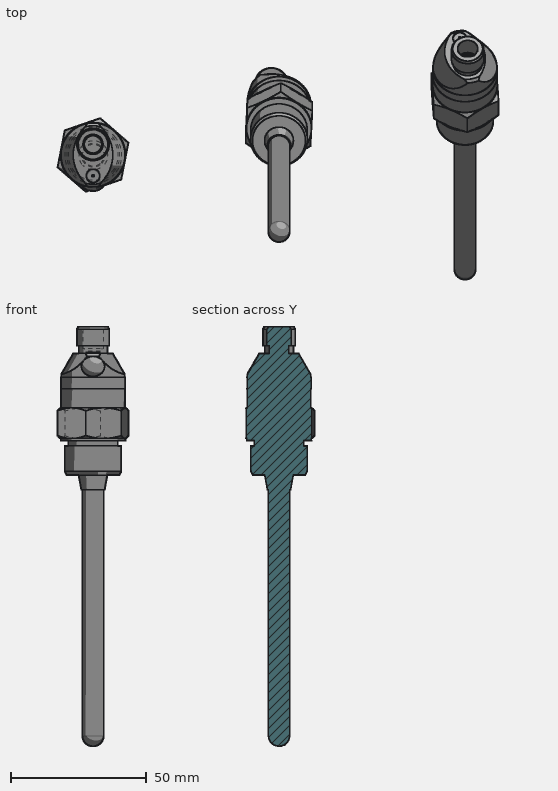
import cadquery as cq
import math

ROD_TIP_Z = -112.8
CONE_BOTTOM_Z = -18.2
THREAD_BOTTOM_Z = -12.7
THREAD_TOP_Z = -1.9
HEX_BOTTOM_Z = 0.8
HEX_TOP_Z = 12.1
BODY_TOP_Z = 23.3
HEAD_TOP_Z = 32.2
COLLAR_BOTTOM_Z = 35.0
CONNECTOR_TOP_Z = 42.1

ROD_DIAMETER = 8.0
CONE_TOP_DIAMETER = 10.7
CONE_BOTTOM_DIAMETER = 8.7
THREAD_DIAMETER = 20.95
THREAD_CHAMFER_WIDTH = 0.7
THREAD_CHAMFER_HEIGHT = 1.4
UNDERCUT_DIAMETER = 18.4

HEX_ACROSS_FLATS = 24.0
SEAT_DIAMETER = 24.0
HEX_CORNER_ANGLE = 19.0
HEX_CHAMFER_ANGLE = 30.0
BODY_DIAMETER = 23.7
CAP_RING_DIAMETER = 23.8
CAP_RING_BOTTOM_Z = 19.1

HEAD_DIAMETER = 23.6
HEAD_EDGE_CHAMFER = 1.0
FLANK_RADIUS = 16.0
FLANK_ANGLE = 30.0
FLANK_TOP_HALF_WIDTH = 7.3
FLANK_LENGTH = 80.0

CONNECTOR_Y = 3.9
CONNECTOR_DIAMETER = 12.0
CONNECTOR_CHAMFER_WIDTH = 0.5
CONNECTOR_CHAMFER_HEIGHT = 1.0
CONNECTOR_NECK_DIAMETER = 10.7
SOCKET_DIAMETER = 7.4
SOCKET_DEPTH = 8.0
SOCKET_FLOOR_DIAMETER = 6.4
SOCKET_FLOOR_DEPTH = 9.0

BALL_DIAMETER = 10.0
BALL_Y = -8.4
BALL_Z = 27.4
BUTTON_Y = -7.7
BUTTON_DIAMETER = 5.0
BUTTON_HEIGHT = 0.5
BUTTON_EDGE_RADIUS = 0.3
BUTTON_HOLE_DIAMETER = 0.8
BUTTON_HOLE_DEPTH = 0.5


def cylinder(diameter, bottom_z, top_z, y=0.0):
    """Upright cylinder between two heights, centred on X = 0."""
    plane = cq.Workplane("XY", origin=(0, y, bottom_z))
    return plane.circle(diameter / 2).extrude(top_z - bottom_z)


def make_probe():
    """Round-nosed rod, cone, thread and undercut, turned about Z."""
    rod_r = ROD_DIAMETER / 2
    thread_r = THREAD_DIAMETER / 2
    nose_z = ROD_TIP_Z + rod_r
    arc_offset = rod_r * math.sqrt(0.5)
    profile = (
        cq.Workplane("XZ")
        .moveTo(0, ROD_TIP_Z)
        .threePointArc((arc_offset, nose_z - arc_offset), (rod_r, nose_z))
        .lineTo(rod_r, CONE_BOTTOM_Z)
        .lineTo(CONE_BOTTOM_DIAMETER / 2, CONE_BOTTOM_Z)
        .lineTo(CONE_TOP_DIAMETER / 2, THREAD_BOTTOM_Z)
        .lineTo(thread_r - THREAD_CHAMFER_WIDTH, THREAD_BOTTOM_Z)
        .lineTo(thread_r, THREAD_BOTTOM_Z + THREAD_CHAMFER_HEIGHT)
        .lineTo(thread_r, THREAD_TOP_Z)
        .lineTo(UNDERCUT_DIAMETER / 2, THREAD_TOP_Z)
        .lineTo(UNDERCUT_DIAMETER / 2, HEX_BOTTOM_Z)
        .lineTo(0, HEX_BOTTOM_Z)
        .close()
    )
    return profile.revolve(360, (0, 0, 0), (0, 1, 0))


def make_hexagon():
    """Turned hexagon whose corners are chamfered at both ends."""
    corner_r = HEX_ACROSS_FLATS / math.sqrt(3)
    flat_r = HEX_ACROSS_FLATS / 2
    chamfer_height = (corner_r - flat_r) * math.tan(math.radians(HEX_CHAMFER_ANGLE))
    prism = (
        cq.Workplane("XY", origin=(0, 0, HEX_BOTTOM_Z))
        .polygon(6, 2 * corner_r)
        .extrude(HEX_TOP_Z - HEX_BOTTOM_Z)
        .rotate((0, 0, 0), (0, 0, 1), HEX_CORNER_ANGLE)
    )
    chamfer_envelope = (
        cq.Workplane("XZ")
        .moveTo(0, HEX_BOTTOM_Z)
        .lineTo(flat_r, HEX_BOTTOM_Z)
        .lineTo(corner_r, HEX_BOTTOM_Z + chamfer_height)
        .lineTo(corner_r, HEX_TOP_Z - chamfer_height)
        .lineTo(flat_r, HEX_TOP_Z)
        .lineTo(0, HEX_TOP_Z)
        .close()
        .revolve(360, (0, 0, 0), (0, 1, 0))
    )
    return prism.intersect(chamfer_envelope)


def make_body():
    """Seating flange below the hexagon, sleeve above it and the slightly wider cap ring."""
    seat = cylinder(SEAT_DIAMETER, 0, HEX_BOTTOM_Z)
    sleeve = cylinder(BODY_DIAMETER, HEX_BOTTOM_Z, CAP_RING_BOTTOM_Z)
    cap_ring = cylinder(CAP_RING_DIAMETER, CAP_RING_BOTTOM_Z, BODY_TOP_Z)
    return seat.union(sleeve).union(cap_ring)


def make_flank(side):
    """Cylinder leaning about Y that bounds the head on the given X side (+1 or -1)."""
    lean = math.radians(FLANK_ANGLE)
    axis_x = side * (FLANK_TOP_HALF_WIDTH - FLANK_RADIUS / math.cos(lean))
    direction = cq.Vector(-side * math.sin(lean), 0, math.cos(lean))
    start = cq.Vector(axis_x, 0, HEAD_TOP_Z) - direction * (FLANK_LENGTH / 2)
    return cq.Workplane(cq.Solid.makeCylinder(FLANK_RADIUS, FLANK_LENGTH, start, direction))


def make_head():
    """Drum with a chamfered top edge, trimmed by both flanks."""
    head = cylinder(HEAD_DIAMETER, BODY_TOP_Z, HEAD_TOP_Z).faces(">Z").chamfer(HEAD_EDGE_CHAMFER)
    for side in (-1, 1):
        head = head.intersect(make_flank(side))
    return head


def make_ball():
    """Indicator ball, cut level with the bottom and the top of the head."""
    ball = cq.Workplane("XY", origin=(0, BALL_Y, BALL_Z)).sphere(BALL_DIAMETER / 2)
    head_slab = cylinder(BALL_DIAMETER, BODY_TOP_Z, HEAD_TOP_Z, BALL_Y)
    return ball.intersect(head_slab)


def make_connector():
    """Neck and chamfered collar with a blind socket stepped at its floor."""
    neck = cylinder(CONNECTOR_NECK_DIAMETER, HEAD_TOP_Z, COLLAR_BOTTOM_Z, CONNECTOR_Y)
    collar = cylinder(CONNECTOR_DIAMETER, COLLAR_BOTTOM_Z, CONNECTOR_TOP_Z, CONNECTOR_Y)
    collar = collar.faces(">Z").edges().chamfer(CONNECTOR_CHAMFER_HEIGHT, CONNECTOR_CHAMFER_WIDTH)
    socket = cylinder(SOCKET_DIAMETER, CONNECTOR_TOP_Z - SOCKET_DEPTH, CONNECTOR_TOP_Z, CONNECTOR_Y)
    floor_z = CONNECTOR_TOP_Z - SOCKET_FLOOR_DEPTH
    socket = socket.union(cylinder(SOCKET_FLOOR_DIAMETER, floor_z, CONNECTOR_TOP_Z, CONNECTOR_Y))
    return neck.union(collar).cut(socket)


def make_button():
    """Rounded button with a small blind hole, rooted inside the head and the ball."""
    top_z = HEAD_TOP_Z + BUTTON_HEIGHT
    button = cylinder(BUTTON_DIAMETER, BALL_Z, top_z, BUTTON_Y)
    button = button.faces(">Z").edges().fillet(BUTTON_EDGE_RADIUS)
    return button.cut(cylinder(BUTTON_HOLE_DIAMETER, top_z - BUTTON_HOLE_DEPTH, top_z, BUTTON_Y))


result = make_probe().union(make_hexagon()).union(make_body()).union(make_head())
result = result.union(make_ball()).union(make_button()).union(make_connector())